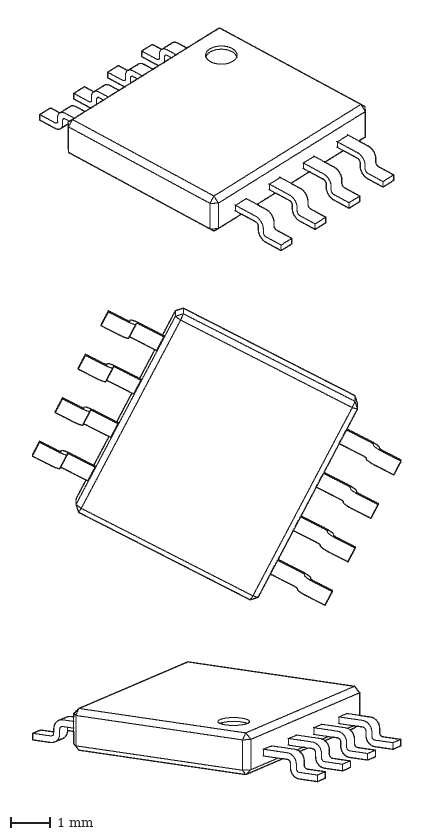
import cadquery as cq

total_length = 8.42
body_length = 5.24
body_width = 5.81
body_height = 1.1
standoff = 0.1
body_chamfer = 0.15

lead_count = 4
lead_pitch = 1.27
lead_width = 0.4
lead_thickness = 0.18
lead_top = 0.65
foot_length = 0.62
bend_inner_radius = 0.09
bend_outer_radius = bend_inner_radius + lead_thickness

marker_diameter = 0.8
marker_x = -1.62
marker_depth = 0.1
marker_thickness = 0.1

body_top = standoff + body_height
lead_row_y = [(i - (lead_count - 1) / 2) * lead_pitch for i in range(lead_count)]
marker_y = lead_row_y[-1]


def make_lead(y):
    """Constant-thickness strip with two gull-wing ends, centred on y."""
    toe = total_length / 2
    upright_outer = toe - foot_length
    upright_inner = upright_outer - lead_thickness
    lead_underside = lead_top - lead_thickness

    blank = (
        cq.Workplane("XZ", origin=(0, y, 0))
        .polyline([
            (-toe, 0),
            (-upright_inner, 0),
            (-upright_inner, lead_underside),
            (upright_inner, lead_underside),
            (upright_inner, 0),
            (toe, 0),
            (toe, lead_thickness),
            (upright_outer, lead_thickness),
            (upright_outer, lead_top),
            (-upright_outer, lead_top),
            (-upright_outer, lead_thickness),
            (-toe, lead_thickness),
        ])
        .close()
        .extrude(lead_width / 2, both=True)
    )

    def bend_edges(x, z):
        """Both edges along Y at height z, at x and at its mirror place."""
        return cq.selectors.SumSelector(
            cq.selectors.NearestToPointSelector((-x, y, z)),
            cq.selectors.NearestToPointSelector((x, y, z)),
        )

    return (
        blank
        .edges(bend_edges(upright_inner, 0)).fillet(bend_outer_radius)
        .edges(bend_edges(upright_outer, lead_top)).fillet(bend_outer_radius)
        .edges(bend_edges(upright_inner, lead_underside)).fillet(bend_inner_radius)
        .edges(bend_edges(upright_outer, lead_thickness)).fillet(bend_inner_radius)
        .solids()
    )


def make_marker_cylinder(top, height):
    """Cylinder on the marker axis that hangs down from the given top height."""
    return (
        cq.Workplane("XY", origin=(marker_x, marker_y, top))
        .circle(marker_diameter / 2)
        .extrude(-height)
    )


def make_body(leads):
    """Chamfered block with a pocket for the marker and a slot for each lead."""
    body = (
        cq.Workplane("XY", origin=(0, 0, standoff))
        .box(body_length, body_width, body_height, centered=(True, True, False))
        .edges()
        .chamfer(body_chamfer)
        .cut(make_marker_cylinder(body_top, marker_depth + marker_thickness))
    )
    for lead in leads:
        body = body.cut(lead)
    return body.solids()


leads = [make_lead(y) for y in lead_row_y]
body = make_body(leads)
marker = make_marker_cylinder(body_top - marker_depth, marker_thickness)

result = cq.Compound.makeCompound([body.val(), marker.val(), *[lead.val() for lead in leads]])